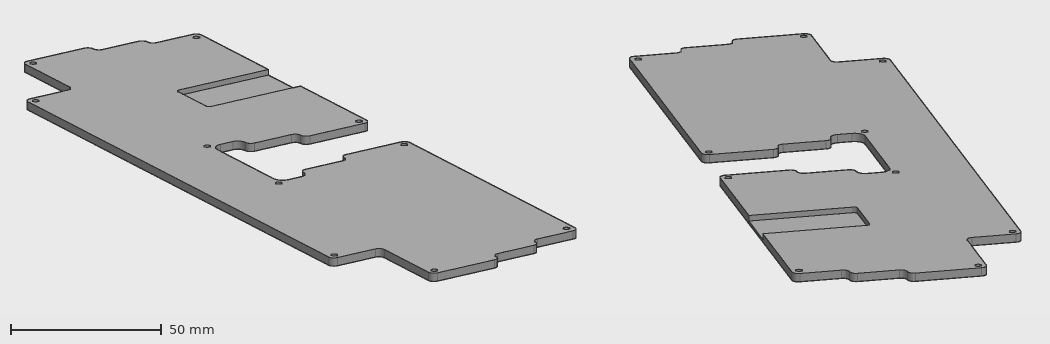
import cadquery as cq

LENGTH = 245.5
WIDTH = 83.8
THICKNESS = 3.0
HALF_LENGTH = LENGTH / 2
REAR_Y = WIDTH / 2
FRONT_Y = -REAR_Y

STEP = 4.5
MIDDLE_HALF = HALF_LENGTH - STEP
REAR_HALF = MIDDLE_HALF - STEP
FRONT_HALF = 92.0
STEP_SPACING = 18.7
REAR_STEP_Y = REAR_Y - STEP_SPACING
MIDDLE_STEP_Y = REAR_STEP_Y - STEP_SPACING
FRONT_TAB_WIDTH = 19.5
FRONT_STEP_Y = FRONT_Y + FRONT_TAB_WIDTH

MOUTH_HALF = 10.8
NECK_HALF = MOUTH_HALF + STEP
LOBE_HALF = 20.5
MOUTH_DEPTH = 26.3
NECK_DEPTH = 45.5
CUTOUT_DEPTH = 57.0
NECK_Y = REAR_Y - MOUTH_DEPTH
LOBE_Y = REAR_Y - NECK_DEPTH
CUTOUT_FLOOR_Y = REAR_Y - CUTOUT_DEPTH

CORNER_RADIUS = 2.19
LOBE_RADIUS = 3.0
FLOOR_RADIUS = 3.7

POCKET_LEFT = -71.7
POCKET_WIDTH = 19.2
POCKET_LENGTH = 36.8
POCKET_DEPTH = 2.0
POCKET_RADIUS = 1.2

HOLE_DIAMETER = 2.2
HOLE_INSET = 2.7
REAR_HOLE_INSET = 3.2
FLOOR_HOLE_OFFSET = 1.0
REAR_HOLE_Y = REAR_Y - HOLE_INSET
HOLES = [
    (REAR_HALF - REAR_HOLE_INSET, REAR_HOLE_Y),
    (MOUTH_HALF + HOLE_INSET, REAR_HOLE_Y),
    (LOBE_HALF + FLOOR_HOLE_OFFSET, CUTOUT_FLOOR_Y - FLOOR_HOLE_OFFSET),
    (HALF_LENGTH - HOLE_INSET, FRONT_STEP_Y + HOLE_INSET),
    (FRONT_HALF - HOLE_INSET, FRONT_Y + HOLE_INSET),
]


def mirrored(points):
    return points + [(-x, y) for x, y in reversed(points)]


def fillet_corners(body, points, radius):
    """Round the vertical edges at the given points and their mirror images."""
    for x, y in mirrored(points):
        body = body.edges(cq.selectors.NearestToPointSelector((x, y, THICKNESS / 2))).fillet(radius)
    return body


def make_plate():
    cutout_side = [
        (MOUTH_HALF, REAR_Y),
        (MOUTH_HALF, NECK_Y),
        (NECK_HALF, NECK_Y),
        (NECK_HALF, LOBE_Y),
    ]
    lobe_corner = (LOBE_HALF, LOBE_Y)
    floor_corner = (LOBE_HALF, CUTOUT_FLOOR_Y)
    outer_side = [
        (FRONT_HALF, FRONT_Y),
        (FRONT_HALF, FRONT_STEP_Y),
        (HALF_LENGTH, FRONT_STEP_Y),
        (HALF_LENGTH, MIDDLE_STEP_Y),
        (MIDDLE_HALF, MIDDLE_STEP_Y),
        (MIDDLE_HALF, REAR_STEP_Y),
        (REAR_HALF, REAR_STEP_Y),
        (REAR_HALF, REAR_Y),
    ]
    half_outline = outer_side + cutout_side + [lobe_corner, floor_corner]
    outline = mirrored(half_outline)
    plate = cq.Workplane("XY").polyline(outline).close().extrude(THICKNESS)
    plate = fillet_corners(plate, outer_side + cutout_side, CORNER_RADIUS)
    plate = fillet_corners(plate, [lobe_corner], LOBE_RADIUS)
    return fillet_corners(plate, [floor_corner], FLOOR_RADIUS)


def make_pocket():
    pocket = cq.Workplane("XY").box(POCKET_WIDTH, POCKET_LENGTH, POCKET_DEPTH, centered=False)
    pocket = pocket.edges("|Z and <Y").fillet(POCKET_RADIUS)
    return pocket.translate((POCKET_LEFT, REAR_Y - POCKET_LENGTH, THICKNESS - POCKET_DEPTH))


def make_holes():
    return cq.Workplane("XY").pushPoints(mirrored(HOLES)).circle(HOLE_DIAMETER / 2).extrude(THICKNESS)


result = make_plate().cut(make_pocket()).cut(make_holes())